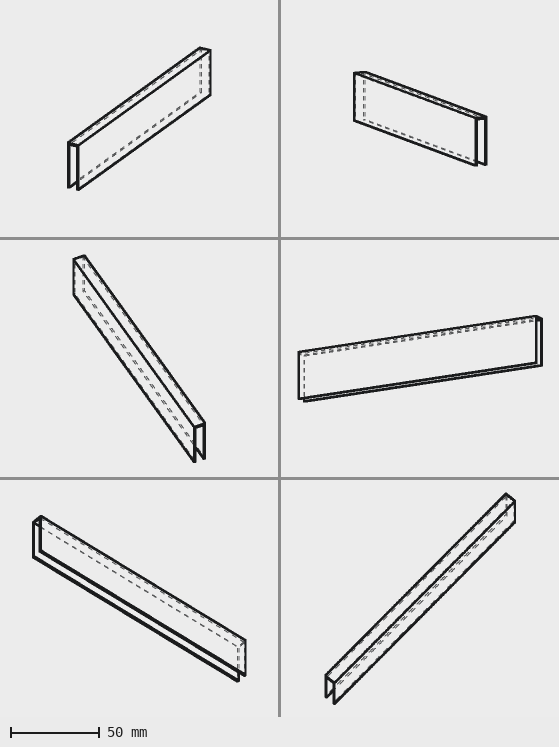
import cadquery as cq

width = 7.0
length = 152.4
height = 27.5
wall = 0.99

bar = cq.Workplane("XY").box(width, length, height, centered=(True, True, False))

slot_width = width - 2 * wall
slot_height = height - wall
slot = cq.Workplane("XY").box(slot_width, length, slot_height, centered=(True, True, False))

result = bar.cut(slot)